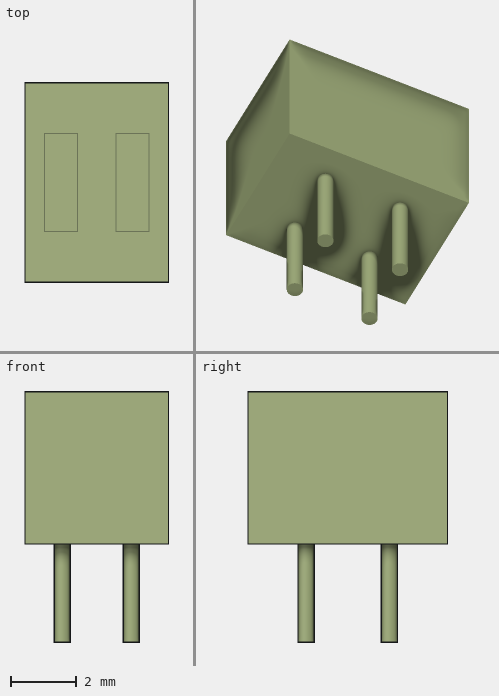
import cadquery as cq

body_width = 4.39
body_length = 6.1
total_height = 7.65

pin_length = 3.0
pin_diameter = 0.5
pin_pitch_x = 2.11
pin_pitch_y = 2.54

window_width = 1.0
window_length = 3.0
window_pitch = 2.17
window_depth = 0.15

body_height = total_height - pin_length


def make_body():
    """Rectangular housing standing on Z = 0."""
    return cq.Workplane("XY").box(body_width, body_length, body_height, centered=(True, True, False))


def make_pins():
    """Pins hanging from the underside of the housing."""
    return (
        cq.Workplane("XY")
        .rarray(pin_pitch_x, pin_pitch_y, 2, 2)
        .circle(pin_diameter / 2)
        .extrude(-pin_length)
    )


def make_windows():
    """Window inlays whose tops lie level with the top of the housing."""
    return (
        cq.Workplane("XY")
        .workplane(offset=body_height)
        .rarray(window_pitch, 0.08, 2, 1)
        .rect(window_width, window_length)
        .extrude(-window_depth)
    )


windows = make_windows()
housing = make_body().union(make_pins())
result = housing.cut(windows, clean=False).union(windows, clean=False)